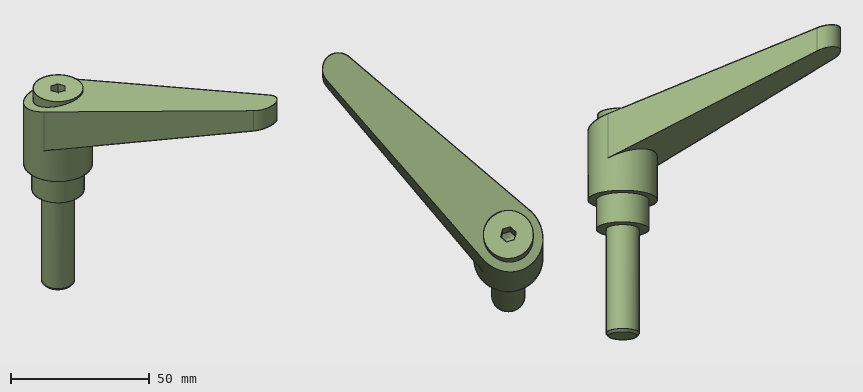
import cadquery as cq
import math

STUD_DIAMETER = 12.0
STUD_LENGTH = 40.0
STUD_CHAMFER_HEIGHT = 1.0
STUD_CHAMFER_WIDTH = 0.8

COLLAR_DIAMETER = 19.0
COLLAR_HEIGHT = 11.0

HUB_DIAMETER = 25.0
LEVER_LENGTH = 101.48
TIP_RADIUS = 6.0
TOTAL_HEIGHT = 103.72
TOP_SLOPE = 15.0
UNDERSIDE_SLOPE = 20.0
TIP_THICKNESS = 8.2

BUTTON_DIAMETER = 18.0
BUTTON_TOP = 43.0
SOCKET_ACROSS_FLATS = 5.0
SOCKET_DEPTH = 6.0
SOCKET_CONE_ANGLE = 118.0

hub_radius = HUB_DIAMETER / 2
tip_x = LEVER_LENGTH - hub_radius
tip_top = TOTAL_HEIGHT - STUD_LENGTH
tip_center_x = tip_x - TIP_RADIUS
top_rise = math.tan(math.radians(TOP_SLOPE))
underside_rise = math.tan(math.radians(UNDERSIDE_SLOPE))


def top_height(x):
    """Height of the sloping top face at position x."""
    return tip_top - (tip_x - x) * top_rise


def underside_height(x):
    """Height of the sloping underside of the lever at position x."""
    return tip_top - TIP_THICKNESS - (tip_x - x) * underside_rise


def side_band(points):
    """Prism with the given XZ outline, spanning the full hub width in Y."""
    return cq.Workplane("XZ").polyline(points).close().extrude(hub_radius, both=True)


def make_stud():
    chamfer_start = STUD_CHAMFER_HEIGHT - STUD_LENGTH
    radius = STUD_DIAMETER / 2
    profile = [
        (0, 0),
        (radius, 0),
        (radius, chamfer_start),
        (radius - STUD_CHAMFER_WIDTH, -STUD_LENGTH),
        (0, -STUD_LENGTH),
    ]
    return cq.Workplane("XZ").polyline(profile).close().revolve(360, (0, 0), (0, 1))


def make_collar():
    return cq.Workplane("XY").circle(COLLAR_DIAMETER / 2).extrude(COLLAR_HEIGHT)


def make_hub():
    """Cylinder cut off by the sloping top plane."""
    cylinder = (
        cq.Workplane("XY", origin=(0, 0, COLLAR_HEIGHT))
        .circle(hub_radius)
        .extrude(tip_top - COLLAR_HEIGHT)
    )
    below_top = side_band([
        (-hub_radius, COLLAR_HEIGHT),
        (hub_radius, COLLAR_HEIGHT),
        (hub_radius, top_height(hub_radius)),
        (-hub_radius, top_height(-hub_radius)),
    ])
    return cylinder.intersect(below_top)


def make_lever():
    """Tapered plan outline tangent to the hub and tip circles, cut to a sloping wedge."""
    taper = math.asin((hub_radius - TIP_RADIUS) / tip_center_x)
    start_x = hub_radius * math.sin(taper)
    start_y = hub_radius * math.cos(taper)
    end_x = tip_center_x + TIP_RADIUS * math.sin(taper)
    end_y = TIP_RADIUS * math.cos(taper)
    plan = (
        cq.Workplane("XY")
        .moveTo(start_x, -start_y)
        .lineTo(end_x, -end_y)
        .threePointArc((tip_x, 0), (end_x, end_y))
        .lineTo(start_x, start_y)
        .close()
        .extrude(tip_top)
    )
    wedge = side_band([
        (start_x, underside_height(start_x)),
        (tip_x, underside_height(tip_x)),
        (tip_x, top_height(tip_x)),
        (start_x, top_height(start_x)),
    ])
    return plan.intersect(wedge)


def make_button():
    return (
        cq.Workplane("XY", origin=(0, 0, COLLAR_HEIGHT))
        .circle(BUTTON_DIAMETER / 2)
        .extrude(BUTTON_TOP - COLLAR_HEIGHT)
    )


def make_socket():
    """Hexagonal socket, corners along X, ending in a drill-point cone."""
    across_corners = SOCKET_ACROSS_FLATS / math.cos(math.radians(30))
    cone_radius = across_corners / 2
    cone_depth = cone_radius / math.tan(math.radians(SOCKET_CONE_ANGLE / 2))
    prism = (
        cq.Workplane("XY", origin=(0, 0, BUTTON_TOP))
        .polygon(6, across_corners)
        .extrude(-SOCKET_DEPTH - cone_depth)
    )
    pointed_pin = (
        cq.Workplane("XZ")
        .moveTo(0, BUTTON_TOP)
        .lineTo(cone_radius, BUTTON_TOP)
        .lineTo(cone_radius, BUTTON_TOP - SOCKET_DEPTH)
        .lineTo(0, BUTTON_TOP - SOCKET_DEPTH - cone_depth)
        .close()
        .revolve(360, (0, 0), (0, 1))
    )
    return prism.intersect(pointed_pin)


body = make_stud().union(make_collar()).union(make_hub()).union(make_lever()).union(make_button())
result = body.cut(make_socket())